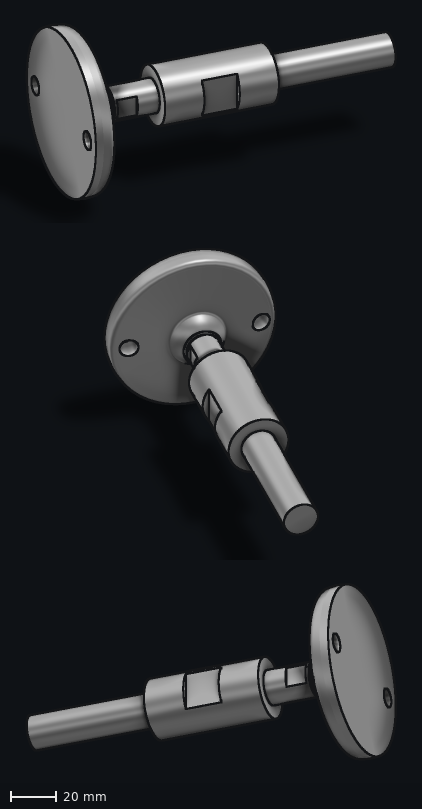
import cadquery as cq
import math

TOTAL_LENGTH = 157.0

FOOT_DIAMETER = 78.0
RIM_EDGE_RADIUS = 38.6
RIM_WIDEST_Y = 3.8
RIM_TOP_Y = 7.2
SHOULDER_RADIUS = 35.5
SLOPE_ANGLE = 9.0
BLEND_RADIUS = 14.5
BLEND_Y = 13.3
DOME_RADIUS = 14.3
DOME_CENTER_Y = 8.2
DOME_START_Y = 14.6
LIP_GROOVE_Y = 20.0
LIP_TIP_RADIUS = 8.8
LIP_TIP_Y = 20.9
LIP_TOP_RADIUS = 7.5
LIP_TOP_Y = 21.4

HOLE_DIAMETER = 8.5
HOLE_OFFSET = 29.0
HOLE_CUT_LENGTH = 47.1

SPINDLE_DIAMETER = 16.0
SPINDLE_START_Y = 22.3
NECK_DIAMETER = 12.2
SPINDLE_FLAT_WIDTH = 13.0
SPINDLE_FLAT_START_Y = 23.7
SPINDLE_FLAT_LENGTH = 9.5

SLEEVE_DIAMETER = 28.0
SLEEVE_START_Y = 43.8
SLEEVE_LENGTH = 54.6
SLEEVE_FLAT_WIDTH = 22.0
SLEEVE_FLAT_LENGTH = 17.0


def cylinder(diameter, start_y, length):
    """Cylinder along +Y, starting at start_y."""
    return cq.Workplane(cq.Solid.makeCylinder(
        diameter / 2, length, cq.Vector(0, start_y, 0), cq.Vector(0, 1, 0)))


def cut_flats(body, diameter, width, start_y, length):
    """Cut two opposite flats, facing -X and +X, into a round body."""
    depth = (diameter - width) / 2
    for side in (-1, 1):
        cutter = cq.Workplane("XY").box(depth, length, diameter).translate(
            (side * (width + depth) / 2, start_y + length / 2, 0))
        body = body.cut(cutter)
    return body


def cut_slanted_holes(body):
    """Cut a hole at each side, square to the sloping top of the foot."""
    slope = math.radians(SLOPE_ANGLE)
    for side in (-1, 1):
        axis = cq.Vector(side * math.sin(slope), math.cos(slope), 0)
        start = cq.Vector(side * HOLE_OFFSET, 0, 0) - axis * (HOLE_CUT_LENGTH / 2)
        body = body.cut(cq.Workplane(
            cq.Solid.makeCylinder(HOLE_DIAMETER / 2, HOLE_CUT_LENGTH, start, axis)))
    return body


def dome_radius_at(y):
    """Radius of the spherical hub at height y."""
    return math.sqrt(DOME_RADIUS ** 2 - (y - DOME_CENTER_Y) ** 2)


def make_foot():
    """Round foot with a sloping top, a domed hub and a lip around the spindle."""
    slope = math.radians(SLOPE_ANGLE)
    shoulder_y = BLEND_Y - (SHOULDER_RADIUS - BLEND_RADIUS) * math.tan(slope)
    dome_middle_y = (DOME_START_Y + LIP_GROOVE_Y) / 2
    profile = (
        cq.Workplane("XY")
        .lineTo(RIM_EDGE_RADIUS, 0)
        .lineTo(FOOT_DIAMETER / 2, RIM_WIDEST_Y)
        .lineTo(RIM_EDGE_RADIUS, RIM_TOP_Y)
        .tangentArcPoint((SHOULDER_RADIUS, shoulder_y), relative=False)
        .lineTo(BLEND_RADIUS, BLEND_Y)
        .tangentArcPoint((dome_radius_at(DOME_START_Y), DOME_START_Y), relative=False)
        .threePointArc(
            (dome_radius_at(dome_middle_y), dome_middle_y),
            (dome_radius_at(LIP_GROOVE_Y), LIP_GROOVE_Y))
        .lineTo(LIP_TIP_RADIUS, LIP_TIP_Y)
        .lineTo(LIP_TOP_RADIUS, LIP_TOP_Y)
        .lineTo(0, LIP_TOP_Y)
        .close()
    )
    foot = profile.revolve(360, (0, 0, 0), (0, 1, 0))
    return cut_slanted_holes(foot)


def make_spindle():
    """Round rod with wrench flats and a thinner neck that rests on the foot."""
    rod = cylinder(SPINDLE_DIAMETER, SPINDLE_START_Y, TOTAL_LENGTH - SPINDLE_START_Y)
    rod = cut_flats(
        rod, SPINDLE_DIAMETER, SPINDLE_FLAT_WIDTH, SPINDLE_FLAT_START_Y, SPINDLE_FLAT_LENGTH)
    neck = cylinder(NECK_DIAMETER, LIP_TOP_Y, SPINDLE_START_Y - LIP_TOP_Y)
    return rod.union(neck)


def make_sleeve():
    """Sleeve around the spindle, with wrench flats at the middle of its length."""
    sleeve = cylinder(SLEEVE_DIAMETER, SLEEVE_START_Y, SLEEVE_LENGTH)
    sleeve = sleeve.cut(cylinder(SPINDLE_DIAMETER, SLEEVE_START_Y, SLEEVE_LENGTH))
    flat_start_y = SLEEVE_START_Y + (SLEEVE_LENGTH - SLEEVE_FLAT_LENGTH) / 2
    return cut_flats(
        sleeve, SLEEVE_DIAMETER, SLEEVE_FLAT_WIDTH, flat_start_y, SLEEVE_FLAT_LENGTH)


foot = make_foot()
spindle = make_spindle()
sleeve = make_sleeve()

result = cq.Compound.makeCompound([*foot.solids().vals(), *spindle.solids().vals(), *sleeve.solids().vals()])